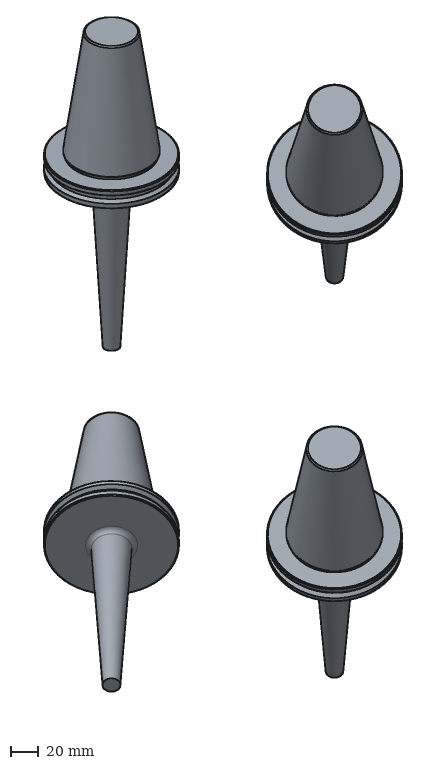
import cadquery as cq
import math

total_length = 270.8

taper_length = 101.8
gauge_radius = 35.0
taper_slope = 7 / 24 / 2
taper_end_chamfer = 1.0

collar_length = 3.3
collar_radius = 34.0
gauge_land_length = 0.8

flange_radius = 48.8
flange_thickness = 16.0
flange_chamfer = 0.8
groove_floor_radius = 45.5
groove_floor_width = 3.3
groove_center_drop = 11.0
groove_wall_angle = 30.0

nose_root_radius = 15.0
nose_tip_radius = 6.5
nose_fillet = 4.0

gauge_z = total_length - taper_length
flange_top_z = gauge_z - collar_length
flange_bottom_z = flange_top_z - flange_thickness
taper_end_radius = gauge_radius - taper_slope * taper_length
chamfer_start_radius = taper_end_radius + taper_slope * taper_end_chamfer


def make_body():
    """Revolve the taper, collar, flange and nose as one stepped shape."""
    outline = [
        (0, 0),
        (nose_tip_radius, 0),
        (nose_root_radius, flange_bottom_z),
        (flange_radius - flange_chamfer, flange_bottom_z),
        (flange_radius, flange_bottom_z + flange_chamfer),
        (flange_radius, flange_top_z - flange_chamfer),
        (flange_radius - flange_chamfer, flange_top_z),
        (collar_radius, flange_top_z),
        (collar_radius, gauge_z - gauge_land_length),
        (gauge_radius, gauge_z - gauge_land_length),
        (gauge_radius, gauge_z),
        (chamfer_start_radius, total_length - taper_end_chamfer),
        (taper_end_radius - taper_end_chamfer, total_length),
        (0, total_length),
    ]
    return cq.Workplane("XZ").polyline(outline).close().revolve(360, (0, 0), (0, 1))


def make_groove():
    """Ring that cuts the flat-bottomed V groove."""
    center_z = gauge_z - groove_center_drop
    floor_half = groove_floor_width / 2
    depth = flange_radius - groove_floor_radius
    mouth_half = floor_half + depth * math.tan(math.radians(groove_wall_angle))
    outline = [
        (groove_floor_radius, center_z - floor_half),
        (flange_radius, center_z - mouth_half),
        (flange_radius, center_z + mouth_half),
        (groove_floor_radius, center_z + floor_half),
    ]
    return cq.Workplane("XZ").polyline(outline).close().revolve(360, (0, 0), (0, 1))


def round_nose_root(body):
    """Fillet the circle where the nose meets the flange."""
    reach = nose_root_radius + nose_fillet
    root_zone = cq.selectors.BoxSelector(
        (-reach, -reach, flange_bottom_z - nose_fillet),
        (reach, reach, flange_bottom_z + nose_fillet),
        boundingbox=True,
    )
    return body.edges("%CIRCLE").edges(root_zone).fillet(nose_fillet)


result = round_nose_root(make_body()).cut(make_groove())